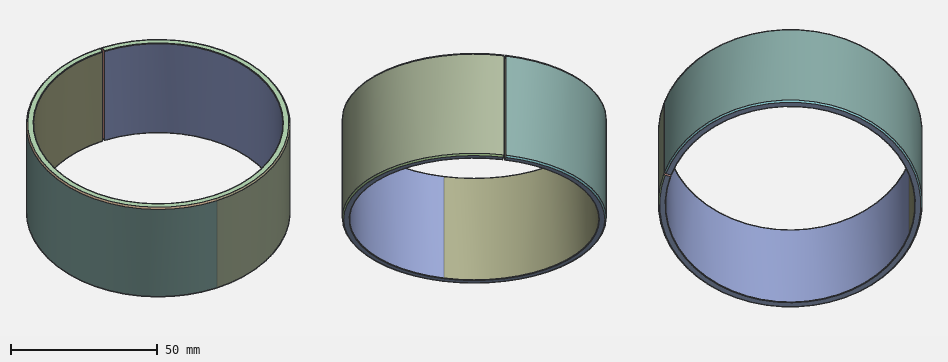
import cadquery as cq

outer_diameter = 90.0
wall_thickness = 2.5
height = 40.0
outer_chamfer_height = 0.6
outer_chamfer_depth = 0.495
inner_chamfer = 0.2
slit_width = 0.7

outer_radius = outer_diameter / 2
inner_radius = outer_radius - wall_thickness


def ring_body():
    """Revolve the wall section, with all four corners chamfered, about Z."""
    section = (
        cq.Workplane("XZ")
        .moveTo(inner_radius + inner_chamfer, 0)
        .lineTo(outer_radius - outer_chamfer_depth, 0)
        .lineTo(outer_radius, outer_chamfer_height)
        .lineTo(outer_radius, height - outer_chamfer_height)
        .lineTo(outer_radius - outer_chamfer_depth, height)
        .lineTo(inner_radius + inner_chamfer, height)
        .lineTo(inner_radius, height - inner_chamfer)
        .lineTo(inner_radius, inner_chamfer)
        .close()
    )
    return section.revolve(360, (0, 0, 0), (0, 1, 0))


def slit_cutter():
    """Block through the -X side of the wall, with one face on the plane Y = 0."""
    return cq.Workplane("XY").box(
        outer_diameter, slit_width, height, centered=(True, False, False)
    ).translate((-outer_radius, 0, 0))


result = ring_body().cut(slit_cutter())